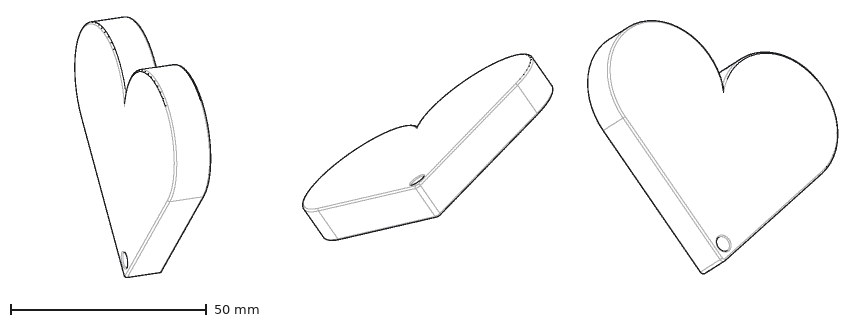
import math

import cadquery as cq

lobe_radius = 18.0
overall_width = 70.63
lobe_offset = overall_width / 2 - lobe_radius
side_angle = 42.78
tip_radius = 1.0

thickness = 10.0
rim_radius = 0.5

hole_diameter = 4.0
hole_above_tip = 5.3
mouth_radius = 0.3

side_sin = math.sin(math.radians(side_angle))
side_cos = math.cos(math.radians(side_angle))
notch_z = math.sqrt(lobe_radius**2 - lobe_offset**2)
tangent_x = lobe_offset + lobe_radius * side_cos
tangent_z = -lobe_radius * side_sin
tip_z = -(lobe_radius + lobe_offset * side_cos) / side_sin
hole_z = tip_z + hole_above_tip


def make_heart():
    """Heart plate with its front face on Y = 0, extending to +Y, tip and rims rounded."""
    plate = (
        cq.Workplane("XZ")
        .moveTo(0, tip_z)
        .lineTo(tangent_x, tangent_z)
        .threePointArc((lobe_offset, lobe_radius), (0, notch_z))
        .threePointArc((-lobe_offset, lobe_radius), (-tangent_x, tangent_z))
        .close()
        .extrude(-thickness)
    )
    plate = plate.edges("|Y").edges("<Z").fillet(tip_radius)
    return plate.faces("<Y or >Y").edges().fillet(rim_radius)


def drill_hole(plate):
    """Ring hole near the tip, right through the plate, with both mouths rounded."""
    bore = cq.Workplane("XZ").center(0, hole_z).circle(hole_diameter / 2).extrude(-thickness)
    drilled = plate.cut(bore)
    bore_wall = cq.selectors.NearestToPointSelector((0, thickness / 2, hole_z + hole_diameter / 2))
    return drilled.faces(bore_wall).edges("%CIRCLE").fillet(mouth_radius)


result = drill_hole(make_heart())